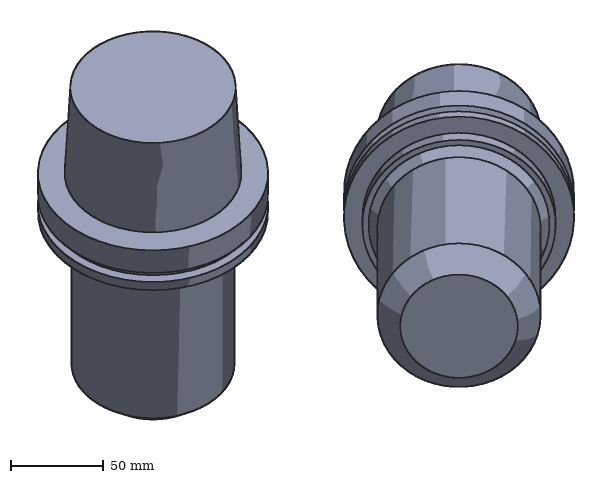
import cadquery as cq

total_height = 215.5
flange_top = 152.5
groove_top = 136.0
groove_bottom = 129.2
flange_bottom = 123.2
collar_bottom = 115.2

taper_top_diameter = 89.8
taper_base_diameter = 96.0
flange_diameter = 125.0
groove_diameter = 117.0
collar_diameter = 105.0
body_diameter = 88.7

groove_wall_height = 1.3
neck_chamfer = 4.7
end_chamfer = 12.5


def frustum(bottom, bottom_diameter, top, top_diameter):
    """Solid of revolution about Z between two heights, straight or conical."""
    return (
        cq.Workplane("XZ")
        .moveTo(0, bottom)
        .lineTo(bottom_diameter / 2, bottom)
        .lineTo(top_diameter / 2, top)
        .lineTo(0, top)
        .close()
        .revolve(360, (0, 0, 0), (0, 1, 0))
    )


def cylinder(bottom, top, diameter):
    return frustum(bottom, diameter, top, diameter)


def groove_cutter():
    """Ring with sloping walls that narrows towards the groove floor."""
    return (
        cq.Workplane("XZ")
        .moveTo(flange_diameter / 2, groove_bottom)
        .lineTo(groove_diameter / 2, groove_bottom + groove_wall_height)
        .lineTo(groove_diameter / 2, groove_top - groove_wall_height)
        .lineTo(flange_diameter / 2, groove_top)
        .close()
        .revolve(360, (0, 0, 0), (0, 1, 0))
    )


body = cylinder(0, collar_bottom, body_diameter).faces("<Z").chamfer(end_chamfer)

neck = frustum(
    collar_bottom - neck_chamfer, body_diameter,
    collar_bottom, body_diameter + 2 * neck_chamfer,
)

collar = cylinder(collar_bottom, flange_bottom, collar_diameter)
flange = cylinder(flange_bottom, flange_top, flange_diameter).cut(groove_cutter())
taper = frustum(flange_top, taper_base_diameter, total_height, taper_top_diameter)

result = body.union(neck).union(collar).union(flange).union(taper)